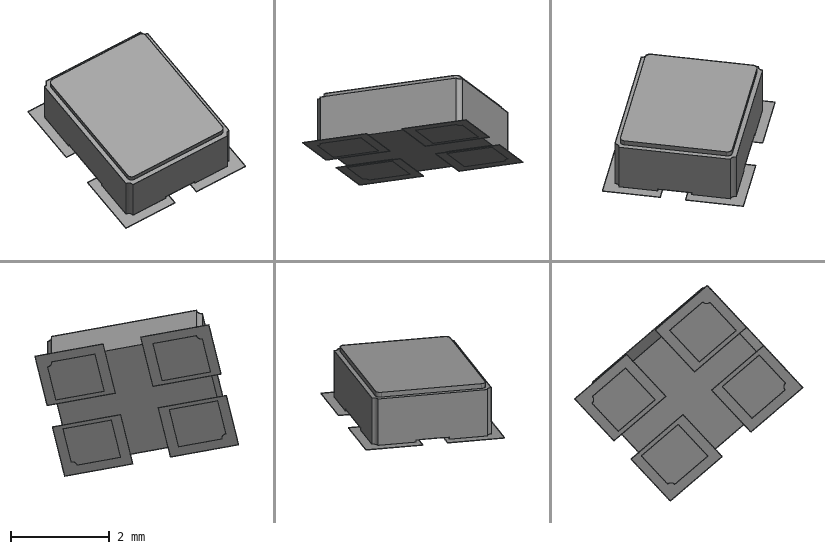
import cadquery as cq

span_x = 3.6
span_y = 2.9
total_height = 1.1

land_x = 1.41
land_y = 1.19
land_thickness = 0.007

body_x = 3.2
body_y = 2.5
corner_groove_radius = 0.1

lid_height = 0.1
lid_inset = 0.1
lid_corner_radius = 0.1
body_top = total_height - lid_height

foot_top = 0.05
foot_gap_x = 1.2
foot_gap_y = 0.7


def block(size_x, size_y, bottom, top):
    """Box centred on the Z axis between two heights."""
    return (
        cq.Workplane("XY")
        .workplane(offset=bottom)
        .rect(size_x, size_y)
        .extrude(top - bottom)
    )


def make_body():
    grooves = (
        cq.Workplane("XY")
        .rect(body_x, body_y, forConstruction=True)
        .vertices()
        .circle(corner_groove_radius)
        .extrude(body_top)
    )
    channel_along_y = block(foot_gap_x, body_y, 0, foot_top)
    channel_along_x = block(body_x, foot_gap_y, 0, foot_top)
    body = block(body_x, body_y, 0, body_top)
    return body.cut(grooves).cut(channel_along_y).cut(channel_along_x)


def make_lid():
    lid_x = body_x - 2 * lid_inset
    lid_y = body_y - 2 * lid_inset
    lid = block(lid_x, lid_y, body_top, total_height)
    return lid.edges("|Z").fillet(lid_corner_radius)


def make_lands():
    return (
        cq.Workplane("XY")
        .rect(span_x - land_x, span_y - land_y, forConstruction=True)
        .vertices()
        .rect(land_x, land_y)
        .extrude(land_thickness)
    )


result = make_body().union(make_lid()).union(make_lands())